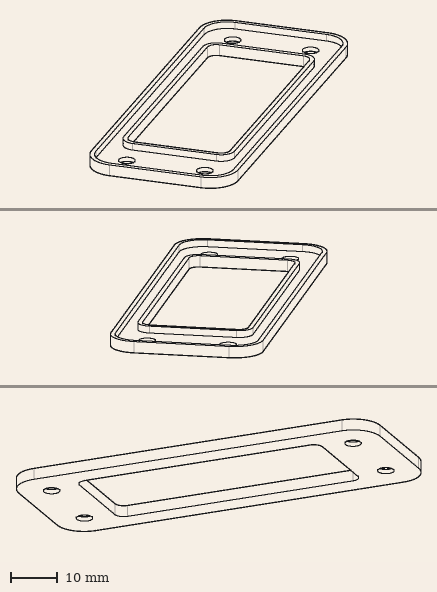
import cadquery as cq

length = 84.0
width = 33.0
height = 2.5
corner_radius = 6.2

rim_thickness = 1.0
floor_thickness = 1.0

window_width = 22.9
window_length = 56.45
window_radius = 2.0

hole_diameter = 3.5
hole_spacing_x = 17.55
hole_spacing_y = 70.05


def rounded_block(size_x, size_y, radius, bottom, top):
    """Upright block centred on the Z axis with rounded vertical edges."""
    block = cq.Workplane("XY").workplane(offset=bottom).rect(size_x, size_y).extrude(top - bottom)
    return block.edges("|Z").fillet(radius)


plate = rounded_block(width, length, corner_radius, 0, height)

channel_outer = rounded_block(
    width - 2 * rim_thickness,
    length - 2 * rim_thickness,
    corner_radius - rim_thickness,
    floor_thickness,
    height,
)
window_rim = rounded_block(
    window_width + 2 * rim_thickness,
    window_length + 2 * rim_thickness,
    window_radius + rim_thickness,
    floor_thickness,
    height,
)
channel = channel_outer.cut(window_rim)

window = rounded_block(window_width, window_length, window_radius, 0, height)
holes = (
    cq.Workplane("XY")
    .rarray(hole_spacing_x, hole_spacing_y, 2, 2)
    .circle(hole_diameter / 2)
    .extrude(height)
)

result = plate.cut(channel).cut(window).cut(holes)